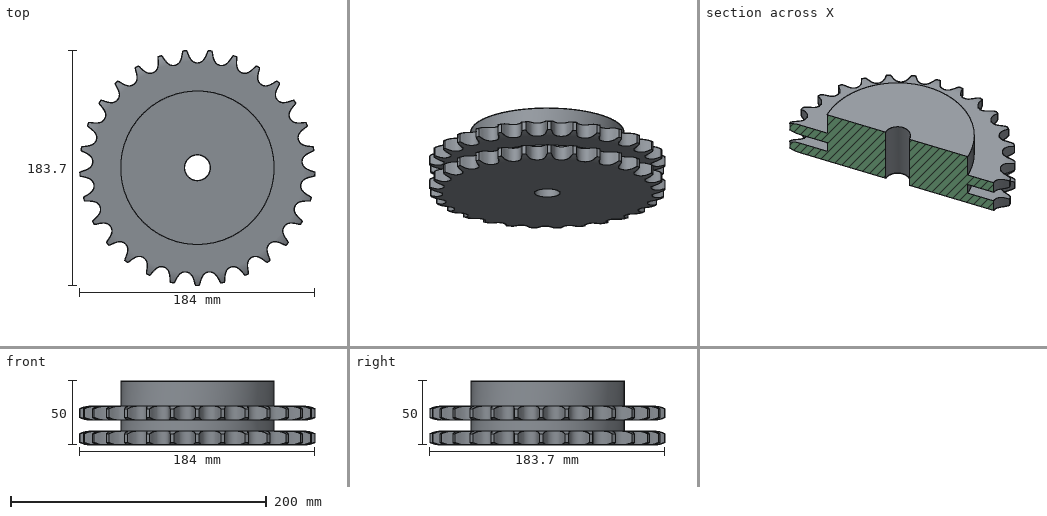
import cadquery as cq
import math

CHAIN_PITCH = 19.05
ROLLER_DIAMETER = 12.07
TOOTH_COUNT = 29
ROW_SPACING = 19.5
ROW_COUNT = 2

TIP_DIAMETER = 184.1
TOOTH_WIDTH = 10.8
HUB_DIAMETER = 120.0
BORE_DIAMETER = 20.0
TOTAL_HEIGHT = 50.0

TOOTH_ANGLE = 360.0 / TOOTH_COUNT
PITCH_RADIUS = CHAIN_PITCH / (2 * math.sin(math.radians(TOOTH_ANGLE / 2)))
TIP_RADIUS = TIP_DIAMETER / 2

SEAT_CLEARANCE = 0.038
WORKING_CENTER_OFFSET = 0.8 * ROLLER_DIAMETER
TOPPING_CENTER_OFFSET = 1.4 * ROLLER_DIAMETER
SEAT_RADIUS = 0.5025 * ROLLER_DIAMETER + SEAT_CLEARANCE
WORKING_RADIUS = SEAT_RADIUS + WORKING_CENTER_OFFSET
SEAT_END_ANGLE = math.radians(35 + 60 / TOOTH_COUNT)
WORKING_ARC_ANGLE = math.radians(18 - 56 / TOOTH_COUNT)
PRESSURE_ANGLE = math.radians(17 - 64 / TOOTH_COUNT)
FLANK_ANGLE = SEAT_END_ANGLE - WORKING_ARC_ANGLE
STRAIGHT_LENGTH = (
    TOPPING_CENTER_OFFSET * math.sin(PRESSURE_ANGLE)
    - WORKING_CENTER_OFFSET * math.sin(WORKING_ARC_ANGLE)
)
TOPPING_RADIUS = (
    TOPPING_CENTER_OFFSET * math.cos(PRESSURE_ANGLE)
    + WORKING_CENTER_OFFSET * math.cos(WORKING_ARC_ANGLE)
    - WORKING_RADIUS
)
GAP_OVERSHOOT = 1.0

RELIEF_START_RADIUS = 83.5
RELIEF_ARC_RADIUS = CHAIN_PITCH


def cylinder(diameter, height):
    return cq.Workplane("XY").circle(diameter / 2).extrude(height)


def relief_depth(radius):
    """Depth of the side relief below the plate face at a given radius."""
    run = radius - RELIEF_START_RADIUS
    return RELIEF_ARC_RADIUS - math.sqrt(RELIEF_ARC_RADIUS**2 - run**2)


def make_blank():
    """Toothless plate with both rim edges relieved by arcs."""
    middle_radius = (RELIEF_START_RADIUS + TIP_RADIUS) / 2
    tip_depth = relief_depth(TIP_RADIUS)
    middle_depth = relief_depth(middle_radius)
    return (
        cq.Workplane("XZ")
        .lineTo(RELIEF_START_RADIUS, 0)
        .threePointArc((middle_radius, middle_depth), (TIP_RADIUS, tip_depth))
        .lineTo(TIP_RADIUS, TOOTH_WIDTH - tip_depth)
        .threePointArc((middle_radius, TOOTH_WIDTH - middle_depth), (RELIEF_START_RADIUS, TOOTH_WIDTH))
        .lineTo(0, TOOTH_WIDTH)
        .close()
        .revolve(360, (0, 0, 0), (0, 1, 0))
    )


def offset(point, distance, angle):
    """Point moved by a distance along a direction at an angle below +X."""
    return (point[0] + distance * math.cos(angle), point[1] - distance * math.sin(angle))


def mirrored(point):
    return (-point[0], point[1])


def make_gap():
    """Cutter for one tooth gap, centred on +Y and open beyond the tip circle."""
    seat_center = (0, PITCH_RADIUS)
    seat_bottom = (0, PITCH_RADIUS - SEAT_RADIUS)
    seat_end = offset(seat_center, SEAT_RADIUS, SEAT_END_ANGLE)

    working_center = offset(seat_end, -WORKING_RADIUS, SEAT_END_ANGLE)
    working_middle = offset(working_center, WORKING_RADIUS, (SEAT_END_ANGLE + FLANK_ANGLE) / 2)
    working_end = offset(working_center, WORKING_RADIUS, FLANK_ANGLE)

    straight_end = offset(working_end, STRAIGHT_LENGTH, FLANK_ANGLE - math.pi / 2)

    topping_center = offset(straight_end, TOPPING_RADIUS, FLANK_ANGLE)
    topping_rise = TIP_RADIUS + GAP_OVERSHOOT - topping_center[1]
    topping_end_angle = math.asin(topping_rise / TOPPING_RADIUS)
    topping_middle = offset(topping_center, -TOPPING_RADIUS, (FLANK_ANGLE + topping_end_angle) / 2)
    topping_end = offset(topping_center, -TOPPING_RADIUS, topping_end_angle)

    return (
        cq.Workplane("XY")
        .moveTo(*mirrored(seat_end))
        .threePointArc(seat_bottom, seat_end)
        .threePointArc(working_middle, working_end)
        .lineTo(*straight_end)
        .threePointArc(topping_middle, topping_end)
        .lineTo(*mirrored(topping_end))
        .threePointArc(mirrored(topping_middle), mirrored(straight_end))
        .lineTo(*mirrored(working_end))
        .threePointArc(mirrored(working_middle), mirrored(seat_end))
        .close()
        .extrude(TOOTH_WIDTH)
    )


def make_toothed_plate():
    plate = make_blank()
    gap = make_gap()
    for index in range(TOOTH_COUNT):
        plate = plate.cut(gap.rotate((0, 0, 0), (0, 0, 1), index * TOOTH_ANGLE))
    return plate


def make_sprocket():
    sprocket = cylinder(HUB_DIAMETER, TOTAL_HEIGHT)
    plate = make_toothed_plate()
    for row in range(ROW_COUNT):
        sprocket = sprocket.union(plate.translate((0, 0, row * ROW_SPACING)))
    return sprocket.cut(cylinder(BORE_DIAMETER, TOTAL_HEIGHT))


result = make_sprocket()